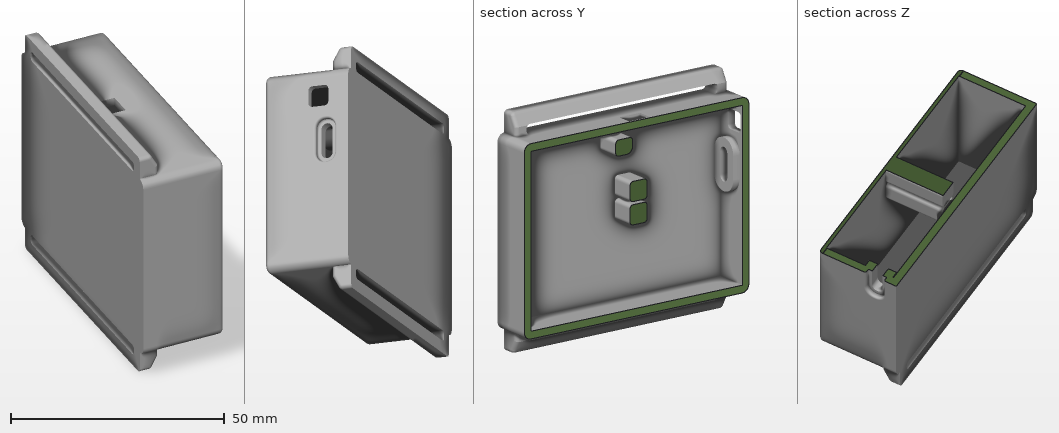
import cadquery as cq

WIDTH = 65.0
DEPTH = 21.0
BOX_HEIGHT = 48.0
CORNER_RADIUS = 2.0
WALL = 2.0
LID_THICKNESS = 1.0
ROUNDING = 1.0

EAR_REACH = 5.5
EAR_WIDTH = 61.2
EAR_THICKNESS = 4.9
EAR_SLOPE_START = 2.35
EAR_TIP_THICKNESS = 3.05
STRAP_SLOT_LENGTH = 55.2
STRAP_SLOT_WIDTH = 2.55

SIDE_WINDOW_SIZE = 5.0
SIDE_WINDOW_Y = -3.0
SIDE_WINDOW_Z = 17.5
TOP_WINDOW_LENGTH = 6.0
TOP_WINDOW_WIDTH = 3.9
TOP_WINDOW_X = -1.05
TOP_WINDOW_Y = -2.15

PORT_Y = -4.7
PORT_Z = 6.7
PORT_HOLE_LENGTH = 8.5
PORT_HOLE_WIDTH = 2.8
PORT_RECESS_LENGTH = 10.5
PORT_RECESS_WIDTH = 4.9
PORT_RECESS_DIAMETER = 4.5
PORT_RECESS_DEPTH = 1.25
PORT_RIM_ROUNDING = 0.5
PORT_BOSS_MARGIN = 1.3
PORT_HOLE_DEPTH = 2.6

POST_WIDTH = 5.1
POST_HEIGHT = 5.1
POST_END_Y = -5.85
UPPER_POST_X = 1.05
UPPER_POST_TOP = 20.2
UPPER_POST_HEIGHT = 4.1
UPPER_POST_HEEL_RADIUS = 1.9
LOWER_POST_X = -3.1
LOWER_POST_TOPS = [9.3, 3.6]

LEFT = -WIDTH / 2
FRONT = -DEPTH / 2
LID_SEAT = DEPTH / 2 - LID_THICKNESS
BOX_TOP = BOX_HEIGHT / 2


def block_along_y(width, height, y_start, y_end):
    """Box centred on the Y axis, from y_start to y_end."""
    return cq.Workplane("XY").box(width, y_end - y_start, height).translate((0, (y_start + y_end) / 2, 0))


def port_prism(length, width, corner_diameter, depth):
    """Rounded prism, long in Z, that starts at the -X face at the port and runs inward."""
    return (
        cq.Workplane("XY")
        .box(depth, width, length)
        .edges("|X")
        .fillet(corner_diameter / 2)
        .translate((LEFT + depth / 2, PORT_Y, PORT_Z))
    )


def port_hole(depth):
    """Oblong cutter, long in Z, that starts at the -X face at the port and runs inward."""
    outline = cq.Workplane("YZ", origin=(LEFT, PORT_Y, PORT_Z)).slot2D(PORT_HOLE_LENGTH, PORT_HOLE_WIDTH, 90)
    return outline.extrude(depth)


def enclosure_block():
    """Outer shape of housing and lid together, without the ears."""
    block = block_along_y(WIDTH, BOX_HEIGHT, FRONT, DEPTH / 2).edges("|Y").fillet(CORNER_RADIUS)
    return block.faces(">Y").edges().fillet(LID_THICKNESS)


def upper_ear():
    """Strap ear on the +Z side, with a sloped back and all its free edges but the front ones rounded."""
    root = BOX_TOP - CORNER_RADIUS
    tip = BOX_TOP + EAR_REACH
    slope_start = BOX_TOP + EAR_SLOPE_START
    slope_run = EAR_THICKNESS - EAR_TIP_THICKNESS
    back = FRONT + EAR_THICKNESS
    profile = [(FRONT, root), (FRONT, tip), (back - slope_run, tip), (back, slope_start), (back, root)]
    ear = cq.Workplane("YZ").polyline(profile).close().extrude(EAR_WIDTH / 2, both=True)
    ear = ear.edges("|Y and >Z").fillet(ROUNDING)
    slope_normal = cq.Vector(0, tip - slope_start, slope_run)
    slope_edges = ear.faces(cq.selectors.DirectionMinMaxSelector(slope_normal, True)).edges("not(|X and >Y)")
    back_side_edges = ear.faces(">Y").edges("|Z")
    return slope_edges.add(back_side_edges).fillet(ROUNDING)


def strap_slot():
    """Cutter for the rounded slot of the +Z ear, next to the box."""
    slot = block_along_y(STRAP_SLOT_LENGTH, STRAP_SLOT_WIDTH, FRONT, FRONT + EAR_THICKNESS)
    return slot.edges("|Y").fillet(ROUNDING).translate((0, 0, BOX_TOP + STRAP_SLOT_WIDTH / 2))


def side_window():
    """Cutter for the rounded square window in the -X wall."""
    return (
        cq.Workplane("XY")
        .box(WALL, SIDE_WINDOW_SIZE, SIDE_WINDOW_SIZE)
        .edges("|X")
        .fillet(ROUNDING)
        .translate((LEFT + WALL / 2, SIDE_WINDOW_Y, SIDE_WINDOW_Z))
    )


def top_window():
    """Cutter for the rectangular window in the +Z wall."""
    return (
        cq.Workplane("XY")
        .box(TOP_WINDOW_LENGTH, TOP_WINDOW_WIDTH, WALL)
        .translate((TOP_WINDOW_X, TOP_WINDOW_Y, BOX_TOP - WALL / 2))
    )


def make_housing():
    body = enclosure_block().intersect(block_along_y(WIDTH, BOX_HEIGHT, FRONT, LID_SEAT))
    ear = upper_ear()
    body = body.union(ear).union(ear.mirror("XY"))
    for slot in (strap_slot(), strap_slot().mirror("XY")):
        body = body.cut(slot)
    body = body.cut(block_along_y(WIDTH - 2 * WALL, BOX_HEIGHT - 2 * WALL, FRONT + WALL, LID_SEAT))

    port_depth = PORT_RECESS_DEPTH + PORT_HOLE_DEPTH
    boss = port_prism(
        PORT_RECESS_LENGTH + 2 * PORT_BOSS_MARGIN,
        PORT_RECESS_WIDTH + 2 * PORT_BOSS_MARGIN,
        PORT_RECESS_DIAMETER + 2 * PORT_BOSS_MARGIN,
        port_depth,
    )
    recess = port_prism(PORT_RECESS_LENGTH, PORT_RECESS_WIDTH, PORT_RECESS_DIAMETER, PORT_RECESS_DEPTH)
    body = body.union(boss).cut(recess)
    rim_size = cq.Vector(WALL, PORT_RECESS_WIDTH, PORT_RECESS_LENGTH)
    port_centre = cq.Vector(LEFT, PORT_Y, PORT_Z)
    rim = cq.selectors.BoxSelector((port_centre - rim_size).toTuple(), (port_centre + rim_size).toTuple())
    body = body.faces("<X").edges(rim).fillet(PORT_RIM_ROUNDING)
    body = body.cut(port_hole(port_depth))

    return body.cut(side_window()).cut(top_window())


def lid_post(low_x, top_z, height, heel_radius):
    """Post with rounded edges; the heel is its lower edge on the -X side."""
    post = block_along_y(POST_WIDTH, height, POST_END_Y, LID_SEAT)
    post = post.edges("|Y and (>X or >Z)").fillet(ROUNDING)
    post = post.edges("|Y and <X and <Z").fillet(heel_radius)
    return post.translate((low_x + POST_WIDTH / 2, 0, top_z - height / 2))


def make_lid():
    lid = enclosure_block().intersect(block_along_y(WIDTH, BOX_HEIGHT, LID_SEAT, DEPTH / 2))
    lid = lid.union(lid_post(UPPER_POST_X, UPPER_POST_TOP, UPPER_POST_HEIGHT, UPPER_POST_HEEL_RADIUS))
    for top_z in LOWER_POST_TOPS:
        lid = lid.union(lid_post(LOWER_POST_X, top_z, POST_HEIGHT, ROUNDING))
    return lid


housing = make_housing()
lid = make_lid()
result = cq.Compound.makeCompound([housing.val(), lid.val()])